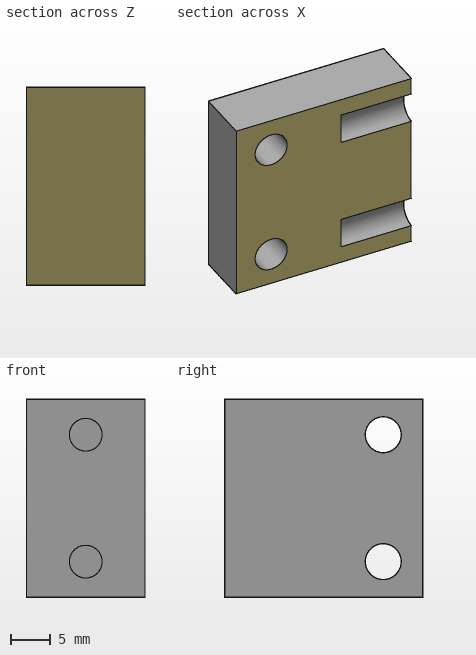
import cadquery as cq

width = 15.0
length = 25.0
height = 25.0

hole_edge_distance = 4.5
hole_heights = [height / 2 - hole_edge_distance, hole_edge_distance - height / 2]

cross_hole_diameter = 4.5
cross_hole_back_distance = 5.0

front_hole_diameter = 4.12
front_hole_depth = 10.0


def cross_hole(z):
    """Cylinder along X through the full width of the block."""
    start = cq.Vector(-width / 2, length / 2 - cross_hole_back_distance, z)
    return cq.Solid.makeCylinder(cross_hole_diameter / 2, width, start, cq.Vector(1, 0, 0))


def front_hole(z):
    """Cylinder along +Y, starting on the front face midway across the width."""
    start = cq.Vector(0, -length / 2, z)
    return cq.Solid.makeCylinder(front_hole_diameter / 2, front_hole_depth, start, cq.Vector(0, 1, 0))


result = cq.Workplane("XY").box(width, length, height)
for hole_height in hole_heights:
    result = result.cut(cross_hole(hole_height))
    result = result.cut(front_hole(hole_height))